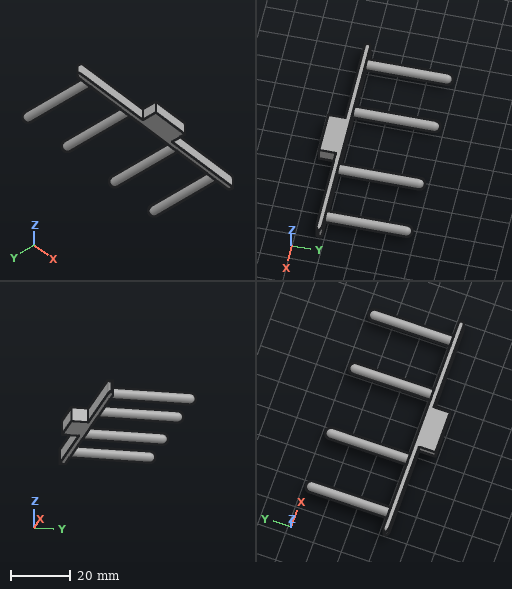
import cadquery as cq
import math

length = 79.45
depth = 37.8
height = 5.0
bar_thickness = 2.0
block_width = 15.0
block_depth = 5.9
pin_diameter = 4.0
inner_pin_spacing = 24.3
outer_pin_spacing = 64.45
end_arc_radius = bar_thickness

pin_radius = pin_diameter / 2
pin_length = depth - block_depth - bar_thickness
pin_positions = [side * spacing / 2
                 for spacing in (inner_pin_spacing, outer_pin_spacing)
                 for side in (-1, 1)]
end_drop = bar_thickness / 2


def rounded_end_profile(plane, width):
    """Bar outline whose long edges curve inwards by end_drop at both ends."""
    half_length = length / 2
    half_width = width / 2
    arc_run = math.sqrt(end_arc_radius**2 - (end_arc_radius - end_drop)**2)
    straight_half = half_length - arc_run
    half_angle = math.asin(arc_run / end_arc_radius) / 2
    mid_x = straight_half + end_arc_radius * math.sin(half_angle)
    mid_y = half_width - end_arc_radius * (1 - math.cos(half_angle))
    tip_y = half_width - end_drop
    has_flat_end = tip_y > 0
    outline = (
        cq.Workplane(plane)
        .moveTo(-straight_half, half_width)
        .lineTo(straight_half, half_width)
        .threePointArc((mid_x, mid_y), (half_length, tip_y))
    )
    if has_flat_end:
        outline = outline.lineTo(half_length, -tip_y)
    outline = (
        outline
        .threePointArc((mid_x, -mid_y), (straight_half, -half_width))
        .lineTo(-straight_half, -half_width)
        .threePointArc((-mid_x, -mid_y), (-half_length, -tip_y))
    )
    if has_flat_end:
        outline = outline.lineTo(-half_length, tip_y)
    return outline.threePointArc((-mid_x, mid_y), (-straight_half, half_width)).close()


def make_bar():
    """Bar centred on the origin, rounded in both thickness and height at its ends."""
    thickness_shape = rounded_end_profile("XY", bar_thickness).extrude(height / 2, both=True)
    height_shape = rounded_end_profile("XZ", height).extrude(bar_thickness / 2, both=True)
    return thickness_shape.intersect(height_shape)


def make_block():
    """Rectangular block on the -Y face of the bar, starting at its mid-plane."""
    block_front = -bar_thickness / 2 - block_depth
    return (
        cq.Workplane("XY")
        .box(block_width, -block_front, height)
        .translate((0, block_front / 2, 0))
    )


def make_pin(x):
    """Pin pointing along +Y from the bar's mid-plane, with a hemispherical tip."""
    tip_y = bar_thickness / 2 + pin_length
    shoulder_y = tip_y - pin_radius
    shaft = cq.Workplane("XZ").circle(pin_radius).extrude(-shoulder_y)
    tip = cq.Workplane("XY").sphere(pin_radius).translate((0, shoulder_y, 0))
    return shaft.union(tip).translate((x, 0, 0))


result = make_bar().union(make_block())
for pin_x in pin_positions:
    result = result.union(make_pin(pin_x))